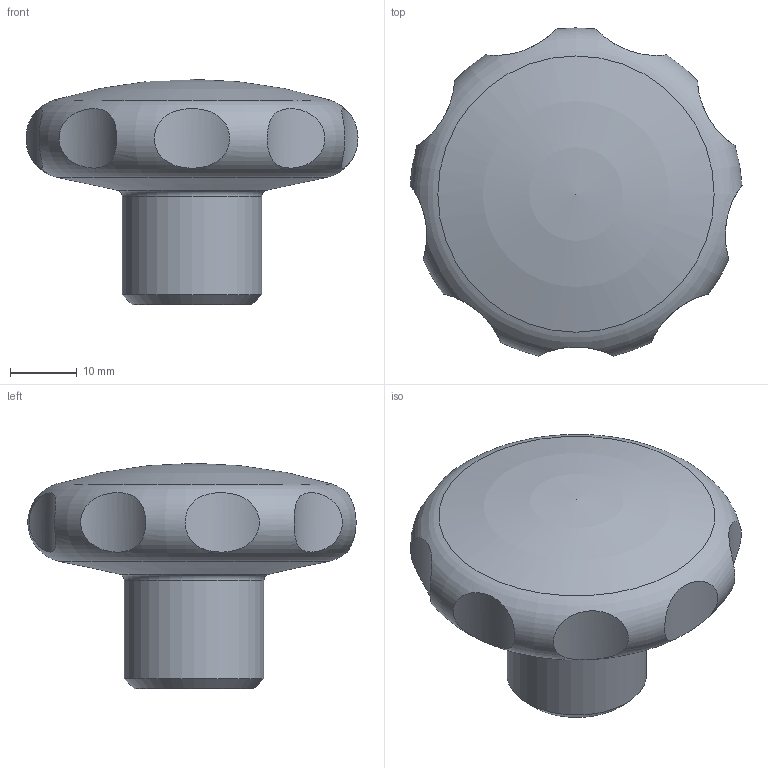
import cadquery as cq
import math

height = 33.87
knob_radius = 25.0

rim_radius = 6.0
rim_center_z = 25.0
rim_center_r = knob_radius - rim_radius

underside_angle = math.radians(12.0)

stem_radius = 10.5
stem_chamfer = 1.5
stem_fillet = 1.0

scallop_count = 9
scallop_radius = 12.5
scallop_depth = 2.0
first_scallop_angle = -90.0


def rim_point(angle):
    """Point on the rim arc, with the angle measured up from the outward direction."""
    return (
        rim_center_r + rim_radius * math.cos(angle),
        rim_center_z + rim_radius * math.sin(angle),
    )


def dome_arc():
    """Middle and outer end of the crown arc, which is tangent to the rim arc."""
    crown_rise = height - rim_center_z - rim_radius
    center_distance = (rim_center_r**2 + crown_rise**2) / (2 * crown_rise)
    dome_radius = rim_radius + center_distance
    edge_tilt = math.asin(rim_center_r / center_distance)
    middle = (
        dome_radius * math.sin(edge_tilt / 2),
        height - dome_radius * (1 - math.cos(edge_tilt / 2)),
    )
    return middle, rim_point(math.pi / 2 - edge_tilt)


def stem_fillet_arc():
    """Lower end, middle and upper end of the fillet between stem and underside."""
    underside_r, underside_z = rim_point(underside_angle - math.pi / 2)
    corner_z = underside_z - (underside_r - stem_radius) * math.tan(underside_angle)
    turn = math.pi / 2 - underside_angle
    center_r = stem_radius + stem_fillet
    center_z = corner_z - stem_fillet * math.tan(turn / 2)

    def point(swept):
        return (
            center_r - stem_fillet * math.cos(swept),
            center_z + stem_fillet * math.sin(swept),
        )

    return point(0), point(turn / 2), point(turn)


def make_body():
    """Stem and head as one profile revolved about Z."""
    dome_middle, dome_edge = dome_arc()
    fillet_low, fillet_middle, fillet_high = stem_fillet_arc()
    underside_edge = rim_point(underside_angle - math.pi / 2)
    profile = (
        cq.Workplane("XZ")
        .moveTo(0, 0)
        .lineTo(stem_radius - stem_chamfer, 0)
        .lineTo(stem_radius, stem_chamfer)
        .lineTo(*fillet_low)
        .threePointArc(fillet_middle, fillet_high)
        .lineTo(*underside_edge)
        .threePointArc(rim_point(0), dome_edge)
        .threePointArc(dome_middle, (0, height))
        .close()
    )
    return profile.revolve(360, (0, 0, 0), (0, 1, 0))


def cut_scallops(body):
    """Cut the finger scallops one at a time, since neighbouring cutters overlap."""
    center_distance = knob_radius - scallop_depth + scallop_radius
    cutter = cq.Workplane("XY").center(center_distance, 0).circle(scallop_radius).extrude(height)
    for index in range(scallop_count):
        angle = first_scallop_angle + index * 360 / scallop_count
        body = body.cut(cutter.rotate((0, 0, 0), (0, 0, 1), angle))
    return body


result = cut_scallops(make_body())